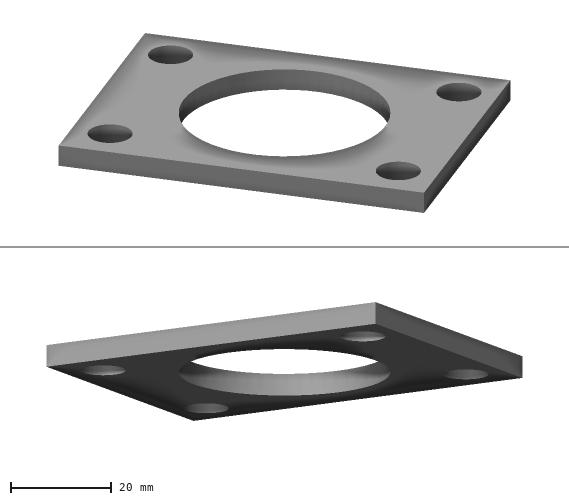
import cadquery as cq

length = 76.0
width = 57.0
thickness = 4.4

bore_diameter = 42.0

hole_diameter = 9.0
hole_spacing_x = 60.0
hole_spacing_y = 40.0

plate = cq.Workplane("XY").box(length, width, thickness)

bored_plate = plate.faces(">Z").workplane().hole(bore_diameter)

result = (
    bored_plate.faces(">Z")
    .workplane(origin=(0, 0, 0))
    .rect(hole_spacing_x, hole_spacing_y, forConstruction=True)
    .vertices()
    .hole(hole_diameter)
)